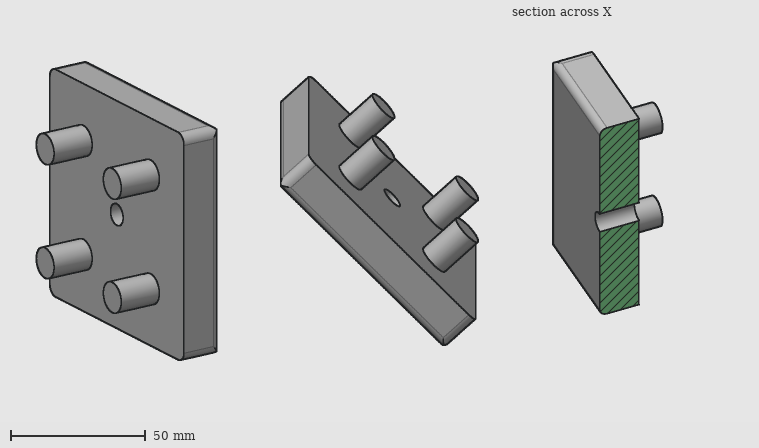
import cadquery as cq

plate_side = 90.0
plate_thickness = 16.0
corner_radius = 4.0
back_edge_radius = 3.0

peg_diameter = 12.0
peg_length = 17.0
peg_spacing = plate_side / 2

hole_diameter = 8.5


def square_block():
    """Plain square plate with sharp edges."""
    return cq.Workplane("XZ").rect(plate_side, plate_side).extrude(-plate_thickness)


def make_plate():
    """Square plate with rounded corners and a back rim whose rounded edges meet in miters."""
    rounded_corners = square_block().edges("|Y").fillet(corner_radius)
    rounded_sides = square_block().edges(">Y and |Z").fillet(back_edge_radius)
    rounded_ends = square_block().edges(">Y and |X").fillet(back_edge_radius)
    return rounded_corners.intersect(rounded_sides).intersect(rounded_ends)


def make_pegs():
    """Four round pegs on a square pattern."""
    return (
        cq.Workplane("XZ")
        .rect(peg_spacing, peg_spacing, forConstruction=True)
        .vertices()
        .circle(peg_diameter / 2)
        .extrude(peg_length)
    )


def make_hole():
    """Cylinder that cuts the central hole through the full plate thickness."""
    return cq.Workplane("XZ").circle(hole_diameter / 2).extrude(-plate_thickness)


result = make_plate().union(make_pegs()).cut(make_hole())